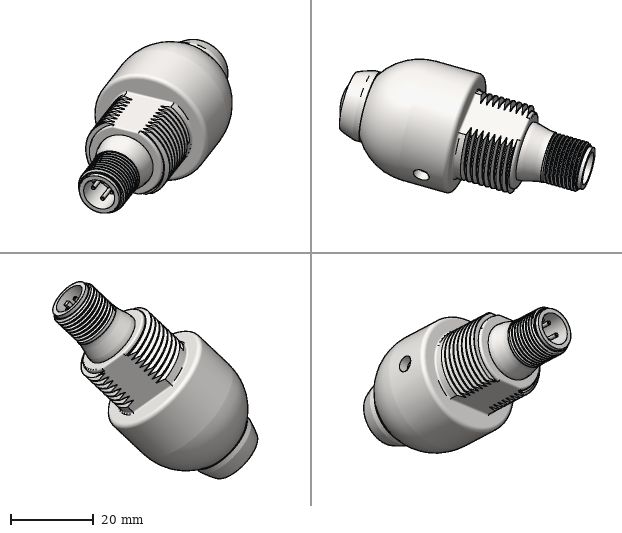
import cadquery as cq
import math

overall_length = 62.85

housing_radius = 14.99
dome_center_y = 12.1
housing_edge_radius = 1.05

button_radius = 8.8
button_base_y = 24.6
button_bend_y = 26.1
button_rim_radius = 7.35
button_rim_y = 30.1
button_side_bulge = 0.1
cap_radius = 6.0
cap_top_y = 31.85

hole_radius = 2.0
hole_y = 6.55
hole_depth = 2.5

barrel_radius = 10.95
barrel_length = 15.0
barrel_root_fillet = 0.45
flat_height = 9.05
collar_radius = 9.7
collar_length = 0.95
collar_edge_fillet = 0.5

sleeve_radius = 7.3
sleeve_shoulder_length = 0.95
taper_end_radius = 6.3
taper_length = 3.95
taper_blend_radius = 3.15
sleeve_length = 6.0

plug_radius = 6.15
plug_chamfer = 0.55
tip_radius = 5.3
tip_length = 1.0
bore_radius = 4.1
bore_depth = 8.8

pin_count = 4
pin_circle_radius = 2.45
pin_radius = 0.5
pin_tip_chamfer = 0.2
contact_recess = 1.9
key_width = 1.2
key_inner_radius = 2.8
key_angle = 135

barrel_pitch = 1.5
barrel_turns = 9
barrel_thread_depth = 1.1
barrel_thread_start_y = -1.95
plug_pitch = 1.0
plug_turns = 9
plug_thread_depth = 0.6
plug_thread_start_y = -21.35
thread_clearance = 0.25
thread_mouth_share = 0.94
thread_root_width = 0.1

margin = 0.05

barrel_end_y = -barrel_length
collar_start_y = barrel_end_y + collar_length
taper_start_y = barrel_end_y - sleeve_shoulder_length
taper_end_y = taper_start_y - taper_length
sleeve_end_y = barrel_end_y - sleeve_length
plug_end_y = cap_top_y - overall_length
tip_start_y = plug_end_y + tip_length
bore_floor_y = plug_end_y + bore_depth
contact_end_y = plug_end_y + contact_recess


def about_axis(body, angle):
    """Turn a body about the Y axis."""
    return body.rotate((0, 0, 0), (0, 1, 0), angle)


def slab(half_x, start_y, end_y, half_z):
    """Box selector centred on the Y axis that takes only edges lying fully inside it."""
    return cq.selectors.BoxSelector(
        (-half_x, start_y, -half_z), (half_x, end_y, half_z), boundingbox=True
    )


def make_turned_body():
    """All round surfaces of the housing, button, barrel, sleeve and bored plug."""
    dome_end_radius = math.sqrt(housing_radius**2 - (button_base_y - dome_center_y) ** 2)
    dome_mid_angle = (math.asin(dome_end_radius / housing_radius) + math.pi / 2) / 2
    dome_mid = (
        housing_radius * math.sin(dome_mid_angle),
        dome_center_y + housing_radius * math.cos(dome_mid_angle),
    )
    button_side_mid = (
        (button_radius + button_rim_radius) / 2 + button_side_bulge,
        (button_bend_y + button_rim_y) / 2,
    )
    cap_height = cap_top_y - button_rim_y
    cap_sphere_radius = (cap_radius**2 + cap_height**2) / (2 * cap_height)

    body = (
        cq.Workplane("XY")
        .moveTo(0, bore_floor_y)
        .lineTo(bore_radius, bore_floor_y)
        .lineTo(bore_radius, plug_end_y)
        .lineTo(tip_radius, plug_end_y)
        .lineTo(tip_radius, tip_start_y)
        .lineTo(plug_radius - plug_chamfer, tip_start_y)
        .lineTo(plug_radius, tip_start_y + plug_chamfer)
        .lineTo(plug_radius, sleeve_end_y)
        .lineTo(taper_end_radius, sleeve_end_y)
        .lineTo(taper_end_radius, taper_end_y)
        .lineTo(sleeve_radius, taper_start_y)
        .lineTo(sleeve_radius, barrel_end_y)
        .lineTo(collar_radius, barrel_end_y)
        .lineTo(collar_radius, collar_start_y)
        .lineTo(barrel_radius, collar_start_y)
        .lineTo(barrel_radius, 0)
        .lineTo(housing_radius - housing_edge_radius, 0)
        .radiusArc((housing_radius, housing_edge_radius), -housing_edge_radius)
        .lineTo(housing_radius, dome_center_y)
        .threePointArc(dome_mid, (dome_end_radius, button_base_y))
        .lineTo(button_radius, button_base_y)
        .lineTo(button_radius, button_bend_y)
        .threePointArc(button_side_mid, (button_rim_radius, button_rim_y))
        .lineTo(cap_radius, button_rim_y)
        .radiusArc((0, cap_top_y), -cap_sphere_radius)
        .close()
        .revolve(360, (0, 0, 0), (0, 1, 0))
    )
    for bend_y in (taper_start_y, taper_end_y):
        bend = slab(sleeve_radius + margin, bend_y - margin, bend_y + margin, sleeve_radius + margin)
        body = body.edges(bend).fillet(taper_blend_radius)
    return about_axis(body, -90)


def cut_flats(body):
    """Cut the two barrel flats, then round the collar edge and the barrel root."""
    cutter_height = barrel_radius - flat_height
    for side in (1, -1):
        cutter = cq.Workplane("XY").box(2 * barrel_radius, barrel_length, cutter_height)
        center_z = side * (flat_height + cutter_height / 2)
        body = body.cut(cutter.translate((0, -barrel_length / 2, center_z)))

    collar_reach = collar_radius + margin
    sleeve_reach = sleeve_radius + margin
    end_span = (barrel_end_y - margin, barrel_end_y + margin)
    collar_edges = slab(collar_reach, *end_span, collar_reach) - slab(sleeve_reach, *end_span, sleeve_reach)
    body = body.edges(collar_edges).fillet(collar_edge_fillet)
    barrel_reach = barrel_radius + margin
    return body.edges(slab(barrel_reach, -margin, margin, barrel_reach)).fillet(barrel_root_fillet)


def make_side_hole():
    return cq.Workplane("YZ", origin=(-housing_radius, hole_y, 0)).circle(hole_radius).extrude(hole_depth)


def make_pin():
    """One contact pin on the +X side, standing on the bore floor."""
    pin = (
        cq.Workplane("XZ", origin=(pin_circle_radius, bore_floor_y, 0))
        .circle(pin_radius)
        .extrude(bore_floor_y - contact_end_y)
    )
    return pin.faces("<Y").chamfer(pin_tip_chamfer)


def make_key():
    """Coding key that runs along the bore wall."""
    wall_middle = (bore_radius + tip_radius) / 2
    key = cq.Workplane("XY").box(
        wall_middle - key_inner_radius,
        bore_floor_y - contact_end_y,
        key_width,
        centered=(False, False, True),
    )
    return about_axis(key.translate((key_inner_radius, contact_end_y, 0)), -key_angle)


def make_thread_groove(crest_radius, depth, pitch, turns, start_y):
    """Right-handed helical V groove that ends at start_y on the +X side."""
    length = turns * pitch
    root_radius = crest_radius - depth
    outer_radius = crest_radius + thread_clearance
    half_root = thread_root_width / 2
    half_mouth = pitch * thread_mouth_share / 2
    profile = (
        cq.Workplane("XZ")
        .moveTo(root_radius, -half_root)
        .lineTo(outer_radius, -half_mouth)
        .lineTo(outer_radius, half_mouth)
        .lineTo(root_radius, half_root)
        .close()
    )
    helix = cq.Workplane(cq.Wire.makeHelix(pitch, length, crest_radius))
    groove = profile.sweep(helix, isFrenet=True)
    return groove.rotate((0, 0, 0), (1, 0, 0), -90).translate((0, start_y - length, 0))


def cut_threads(body):
    barrel_groove = make_thread_groove(
        barrel_radius, barrel_thread_depth, barrel_pitch, barrel_turns, barrel_thread_start_y
    )
    plug_groove = make_thread_groove(
        plug_radius, plug_thread_depth, plug_pitch, plug_turns, plug_thread_start_y
    )
    return body.cut(barrel_groove).cut(plug_groove)


def add_contacts(body):
    """Stand the evenly spaced pins and the coding key in the plug bore."""
    for index in range(pin_count):
        body = body.union(about_axis(make_pin(), index * 360 / pin_count))
    return body.union(make_key())


result = cut_threads(make_turned_body())
result = cut_flats(result)
result = result.cut(make_side_hole())
result = add_contacts(result)